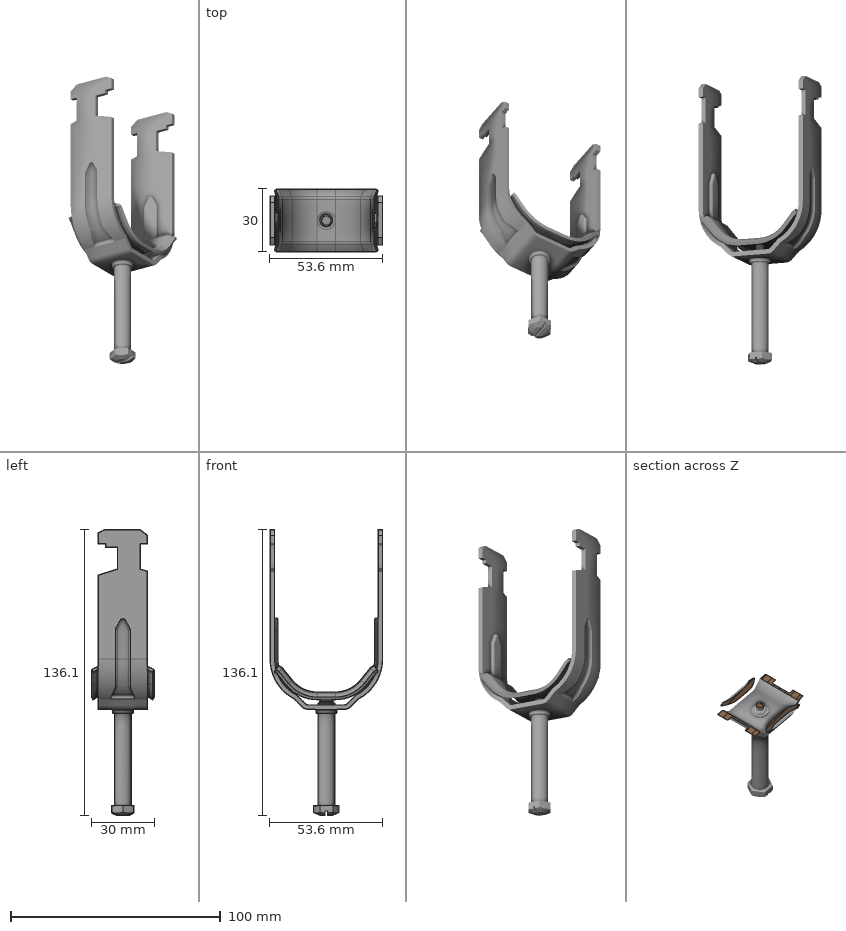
import cadquery as cq
import math


strap_width = 23.4
strap_half_span = 26.8
strap_thickness = 2.2
strap_top = 85.6
bow_radius = 21.4
bow_center_z = 24.0
base_corner_x = 10.3
ramp_angle = 45.0
base_bend_radius = 4.1

bead_depth = 1.6
bead_half_width = 3.5
bead_tip_z = 44.7
bead_outline_fillet = 1.4
bead_shoulder_z = 38.3
bead_flare_top_z = 10.3
bead_flare_z = 6.1
bead_flare_half_width = 5.6
bead_end_x = 15.2
bead_side_wall = 0.3
bead_end_wall = 1.4
bead_floor_fillet = 1.0

collar_diameter = 10.0
collar_length = 1.9
collar_root_fillet = 0.5
collar_end_fillet = 0.4

shaft_diameter = 8.0
shaft_top = 3.0
head_across_flats = 10.6
head_top = -45.9
head_bottom = -50.5
head_crown_height = 1.5
head_crown_diameter = 6.0
slot_width = 1.2
slot_depth = 2.0
shoulder_foot_diameter = 6.0
shoulder_diameter = 6.7
shoulder_top_diameter = 5.0
shoulder_mid_z = 3.7
shoulder_top = 4.5
neck_diameter = 4.0
tip_diameter = 6.0
tip_face_diameter = 4.5
tip_chamfer_height = 0.4

saddle_thickness = 1.5
saddle_top = 8.3
saddle_half_width = 15.0
saddle_flat_half_length = 4.4
saddle_curve_end_x = 16.2
saddle_slope = 51.0
saddle_lip_x = 21.0
saddle_lip_slope = 33.0
saddle_end_x = 22.7
flange_bend_y = 10.0
flange_bend_radius = 3.1
flange_angle = 30.0
saddle_corner_fillet = 1.6
saddle_span_x = 24.8
notch_x = 21.9
notch_width = 10.2
notch_length = 6.8
notch_height = 27.2
saddle_hole_fillet = 1.2

saddle_underside = saddle_top - saddle_thickness


def strap_interior(inset):
    """Prism of the space inside the strap's outer surface moved inward by inset."""
    ramp = math.radians(ramp_angle)
    half_ramp = ramp / 2
    side_x = strap_half_span - inset
    radius = bow_radius - inset
    center_x = strap_half_span - bow_radius
    corner_x = base_corner_x - inset * math.tan(half_ramp)
    bend_radius = base_bend_radius - inset
    bend_run = bend_radius * math.tan(half_ramp)

    from_center_x = corner_x - center_x
    from_center_z = inset - bow_center_z
    along = from_center_x * math.cos(ramp) + from_center_z * math.sin(ramp)
    outside = from_center_x**2 + from_center_z**2 - radius**2
    ramp_length = -along - math.sqrt(along**2 - outside)
    knee_x = corner_x + ramp_length * math.cos(ramp)
    knee_z = inset + ramp_length * math.sin(ramp)

    knee_angle = math.atan2(knee_z - bow_center_z, knee_x - center_x)
    mid_x = center_x + radius * math.cos(knee_angle / 2)
    mid_z = bow_center_z + radius * math.sin(knee_angle / 2)

    bend_end_x = corner_x + bend_run * math.cos(ramp)
    bend_end_z = inset + bend_run * math.sin(ramp)
    half = cq.Workplane("XZ").moveTo(0, strap_top).lineTo(side_x, strap_top)
    half = half.lineTo(side_x, bow_center_z)
    half = half.threePointArc((mid_x, mid_z), (knee_x, knee_z))
    half = half.lineTo(bend_end_x, bend_end_z)
    half = half.tangentArcPoint((corner_x - bend_run, inset), relative=False)
    half = half.lineTo(0, inset).close().extrude(strap_width / 2, both=True)
    return half.union(half.mirror("YZ"))


def arm_outline():
    """Prism along X that trims the strap to its hooked end shape."""
    edge_y = strap_width / 2
    points = [
        (edge_y, 0),
        (edge_y, 64.0),
        (2.6, 66.8),
        (2.6, 77.2),
        (8.2, 77.2),
        (8.2, 78.8),
        (edge_y, 78.8),
        (edge_y, 84.1),
        (8.6, strap_top),
        (-8.2, strap_top),
        (-edge_y, 82.9),
        (-edge_y, 78.8),
        (-8.3, 78.8),
        (-8.3, 66.8),
        (-edge_y, 65.9),
        (-edge_y, 0),
    ]
    return cq.Workplane("YZ").polyline(points).close().extrude(strap_half_span, both=True)


def bead_prism(margin, end_x):
    """Pointed outline of a bead, grown by margin, from end_x out to the +X arm."""
    half_width = bead_half_width + margin
    flare = bead_flare_half_width + margin
    right_side = [
        (flare, 0),
        (flare, bead_flare_z),
        (half_width, bead_flare_top_z),
        (half_width, bead_shoulder_z),
    ]
    left_side = [(-y, z) for y, z in reversed(right_side)]
    points = right_side + [(0, bead_tip_z + margin)] + left_side
    outline = cq.Workplane("YZ").workplane(offset=end_x).polyline(points).close()
    prism = outline.extrude(strap_half_span - end_x)
    above_flare = cq.selectors.BoxSelector(
        (0, -strap_width, (bead_flare_z + bead_flare_top_z) / 2),
        (strap_half_span, strap_width, strap_top),
    )
    return prism.edges("|X").edges(above_flare).fillet(bead_outline_fillet)


def round_bead_floor(bead, inset):
    """Round the rim of a bead's floor, which lies at inset from the strap's outer surface."""
    bow_x = strap_half_span - bow_radius + (bow_radius - inset) * math.cos(math.radians(30))
    bow_z = bow_center_z - (bow_radius - inset) * math.sin(math.radians(30))
    arm_z = (bow_center_z + bead_tip_z) / 2
    arm_floor = cq.selectors.NearestToPointSelector((strap_half_span - inset, 0, arm_z))
    bow_floor = cq.selectors.NearestToPointSelector((bow_x, 0, bow_z))
    return bead.faces(arm_floor + bow_floor).edges("not |Y").fillet(bead_floor_fillet)


def build_strap():
    outer = strap_interior(0)
    inner = strap_interior(strap_thickness)
    strap = outer.cut(inner).intersect(arm_outline())

    bump_layer = inner.cut(strap_interior(strap_thickness + bead_depth))
    bump = bump_layer.intersect(bead_prism(bead_side_wall, bead_end_x - bead_end_wall))
    bump = round_bead_floor(bump, strap_thickness + bead_depth)
    groove_layer = outer.cut(strap_interior(bead_depth))
    groove = groove_layer.intersect(bead_prism(0, bead_end_x))
    groove = round_bead_floor(groove, bead_depth)
    for bead_bump, bead_groove in ((bump, groove), (bump.mirror("YZ"), groove.mirror("YZ"))):
        strap = strap.union(bead_bump).cut(bead_groove)

    collar_radius = collar_diameter / 2
    collar_profile = (
        cq.Workplane("XZ")
        .lineTo(collar_radius + collar_root_fillet, 0)
        .radiusArc((collar_radius, -collar_root_fillet), -collar_root_fillet)
        .lineTo(collar_radius, -collar_length)
        .lineTo(0, -collar_length)
        .close()
    )
    collar = collar_profile.revolve(360, (0, 0), (0, 1))
    collar = collar.faces("<Z").edges().fillet(collar_end_fillet)
    bore = cq.Workplane("XY").workplane(offset=-collar_length).circle(shaft_diameter / 2)
    bore = bore.extrude(collar_length + strap_thickness)
    return strap.union(collar).cut(bore)


def build_bolt():
    tip_z = saddle_top - saddle_hole_fillet + tip_chamfer_height
    axis_profile = [
        (0, head_top),
        (shaft_diameter / 2, head_top),
        (shaft_diameter / 2, shaft_top),
        (shoulder_foot_diameter / 2, shaft_top),
        (shoulder_diameter / 2, shoulder_mid_z),
        (shoulder_top_diameter / 2, shoulder_top),
        (neck_diameter / 2, shoulder_top),
        (neck_diameter / 2, saddle_underside),
        (tip_diameter / 2, saddle_underside),
        (tip_diameter / 2, tip_z - tip_chamfer_height),
        (tip_face_diameter / 2, tip_z),
        (0, tip_z),
    ]
    shank = cq.Workplane("XZ").polyline(axis_profile).close().revolve(360, (0, 0), (0, 1))

    across_corners = head_across_flats / math.cos(math.radians(30))
    head = cq.Workplane("XY").workplane(offset=head_bottom).polygon(6, across_corners)
    head = head.extrude(head_top - head_bottom)
    crown_profile = [
        (0, head_bottom),
        (head_crown_diameter / 2, head_bottom),
        (across_corners / 2, head_bottom + head_crown_height),
        (across_corners / 2, head_top),
        (0, head_top),
    ]
    crown = cq.Workplane("XZ").polyline(crown_profile).close().revolve(360, (0, 0), (0, 1))
    slot = cq.Workplane("XY").workplane(offset=head_bottom).rect(slot_width, across_corners)
    slot = slot.extrude(slot_depth)
    return head.intersect(crown).cut(slot).union(shank)


def saddle_path():
    """Centre line of the saddle's upper face from its middle out to the +X end."""
    slope = math.radians(saddle_slope)
    radius = (saddle_curve_end_x - saddle_flat_half_length) / math.sin(slope)
    curve_end_z = saddle_top + radius * (1 - math.cos(slope))
    mid_x = saddle_flat_half_length + radius * math.sin(slope / 2)
    mid_z = saddle_top + radius * (1 - math.cos(slope / 2))
    lip_z = curve_end_z + (saddle_lip_x - saddle_curve_end_x) * math.tan(slope)
    end_z = lip_z + (saddle_end_x - saddle_lip_x) * math.tan(math.radians(saddle_lip_slope))
    path = cq.Workplane("XZ").moveTo(0, saddle_top).lineTo(saddle_flat_half_length, saddle_top)
    path = path.threePointArc((mid_x, mid_z), (saddle_curve_end_x, curve_end_z))
    return path.lineTo(saddle_lip_x, lip_z).lineTo(saddle_end_x, end_z)


def saddle_section():
    """Cross-section of the saddle: a flat plate with both side flanges bent down."""
    angle = math.radians(flange_angle)
    bend_center_z = saddle_top - flange_bend_radius
    inner_radius = flange_bend_radius - saddle_thickness

    def on_bend(radius, turn):
        return (flange_bend_y + radius * math.sin(turn), bend_center_z + radius * math.cos(turn))

    bend_end_y, bend_end_z = on_bend(flange_bend_radius, angle)
    edge_z = bend_end_z - (saddle_half_width - bend_end_y) * math.tan(angle)
    edge_foot_y = saddle_half_width - saddle_thickness * math.sin(angle)
    edge_foot_z = edge_z - saddle_thickness * math.cos(angle)

    def mirrored(point):
        return (-point[0], point[1])

    section = (
        cq.Workplane("YZ")
        .moveTo(-flange_bend_y, saddle_top)
        .lineTo(flange_bend_y, saddle_top)
        .threePointArc(on_bend(flange_bend_radius, angle / 2), (bend_end_y, bend_end_z))
        .lineTo(saddle_half_width, edge_z)
        .lineTo(edge_foot_y, edge_foot_z)
        .lineTo(*on_bend(inner_radius, angle))
        .threePointArc(on_bend(inner_radius, angle / 2), on_bend(inner_radius, 0))
        .lineTo(*mirrored(on_bend(inner_radius, 0)))
        .threePointArc(
            mirrored(on_bend(inner_radius, angle / 2)), mirrored(on_bend(inner_radius, angle))
        )
        .lineTo(-edge_foot_y, edge_foot_z)
        .lineTo(-saddle_half_width, edge_z)
        .lineTo(-bend_end_y, bend_end_z)
        .threePointArc(
            mirrored(on_bend(flange_bend_radius, angle / 2)), (-flange_bend_y, saddle_top)
        )
    )
    return section.close()


def build_saddle():
    half = saddle_section().sweep(saddle_path(), transition="right")
    notch = cq.Workplane("XY").box(
        notch_length, notch_width, notch_height, centered=(False, True, False)
    )
    half = half.cut(notch.translate((notch_x, 0, saddle_top)))
    saddle = half.union(half.mirror("YZ"))

    rounded_plan = cq.Workplane("XY").box(2 * saddle_span_x, 2 * saddle_half_width, 2 * strap_top)
    saddle = saddle.intersect(rounded_plan.edges("|Z").fillet(saddle_corner_fillet))

    hole_radius = tip_diameter / 2
    hole_profile = (
        cq.Workplane("XZ")
        .moveTo(0, saddle_underside)
        .lineTo(hole_radius, saddle_underside)
        .lineTo(hole_radius, saddle_top - saddle_hole_fillet)
        .radiusArc((hole_radius + saddle_hole_fillet, saddle_top), saddle_hole_fillet)
        .lineTo(0, saddle_top)
        .close()
    )
    return saddle.cut(hole_profile.revolve(360, (0, 0), (0, 1)))


strap = build_strap()
bolt = build_bolt()
saddle = build_saddle()
result = cq.Compound.makeCompound([strap.solids().val(), bolt.solids().val(), saddle.solids().val()])